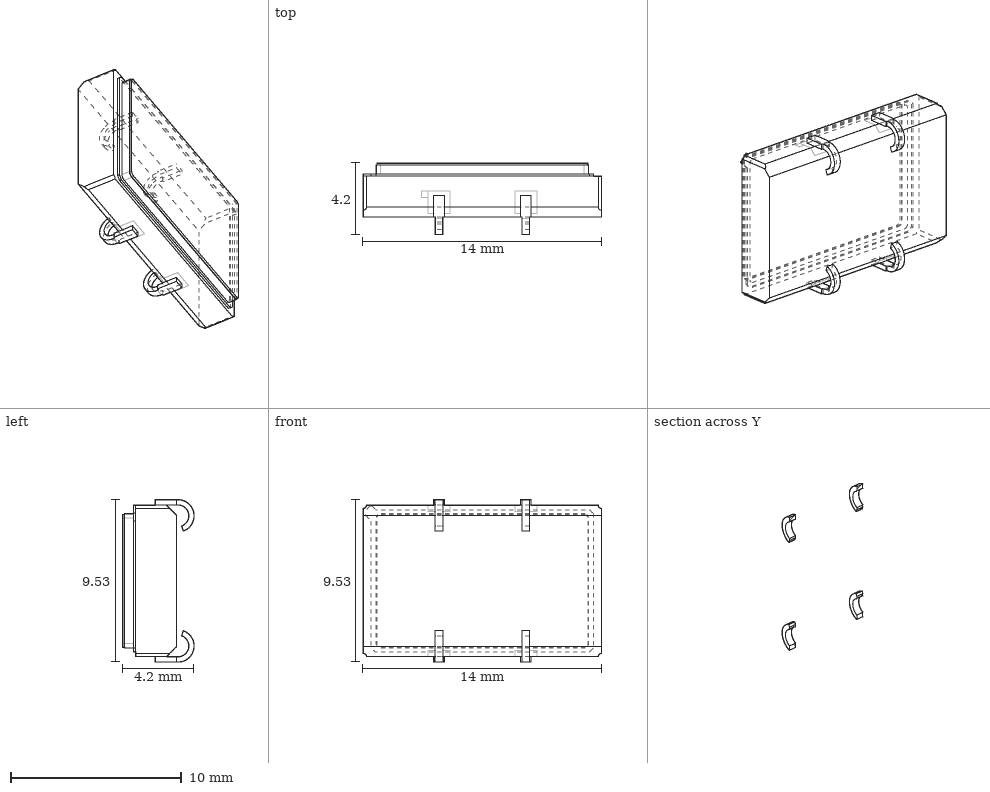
import cadquery as cq
import math


base_length = 13.97
base_height = 8.89
base_depth = 2.413
base_chamfer = 0.6
corner_notch_radius = 0.19

pad_x_positions = (-2.55, 2.55)
pad_width = 1.28
pad_start = 0.23
pad_end = 1.53
pad_tab_size = 0.38
pad_depth = 0.1

layer_thickness = 0.127
layer_inset_x = 0.46
layer_inset_z = 0.28
layer_chamfer = 0.24
mark_corner_setback = 0.46
mark_tilt = 45.0

ring_length = 12.446
ring_height = 7.874
ring_thickness = 0.508
ring_corner_radius = 0.254
lid_inset = 0.038
lid_thickness = 0.127

lead_x_positions = (-2.54, 2.54)
lead_thickness = 0.32
lead_foot_width = 0.635
lead_foot_length = 1.27
hook_width = 0.46
hook_outer_radius = 0.95
hook_straight_length = 0.075
hook_end_angle = 71.0


def block(length, depth, height, y_start):
    """Box centred on X and Z that starts at y_start and grows toward +Y."""
    return cq.Workplane("XY").box(length, depth, height).translate((0, y_start + depth / 2, 0))


def pad_region(x_centre, z_side):
    """Skin of the base that one pad covers, on its end face and its chamfer."""
    end_face = base_height / 2
    chamfer_foot = end_face - base_chamfer
    pad_low_edge = chamfer_foot + pad_start
    outline = [
        (pad_start, pad_low_edge),
        (base_chamfer, end_face),
        (pad_end, end_face),
        (pad_end, end_face - pad_depth),
        (base_chamfer, end_face - pad_depth),
        (pad_start, pad_low_edge - pad_depth),
    ]
    outline = [(y, z_side * z) for y, z in outline]
    return (
        cq.Workplane("YZ", origin=(x_centre, 0, 0))
        .polyline(outline)
        .close()
        .extrude(pad_width / 2, both=True)
    )


def pad_tab_region():
    """Small square beside the -X, +Z pad that marks the first terminal."""
    return cq.Workplane("XY").box(pad_tab_size, pad_tab_size, pad_depth).translate((
        pad_x_positions[0] - pad_width / 2 - pad_tab_size / 2,
        pad_end - pad_tab_size / 2,
        base_height / 2 - pad_depth / 2,
    ))


def make_base():
    base = block(base_length, base_depth, base_height, 0)
    base = base.faces("<Y").edges("|X").chamfer(base_chamfer)
    notches = (
        cq.Workplane("XZ")
        .rect(base_length, base_height, forConstruction=True)
        .vertices()
        .circle(corner_notch_radius)
        .extrude(-base_depth)
    )
    base = base.cut(notches)
    regions = [pad_region(x, side) for x in pad_x_positions for side in (1, -1)]
    regions.append(pad_tab_region())
    for region in regions:
        base = base.cut(region, clean=False).union(region, clean=False)
    return base


def make_metallised_layer():
    """Chamfered plate joined to a diagonal square that reaches two edges of the base."""
    layer = block(
        base_length - 2 * layer_inset_x,
        layer_thickness,
        base_height - 2 * layer_inset_z,
        base_depth,
    )
    layer = layer.edges("|Y").chamfer(layer_chamfer)
    mark_side = mark_corner_setback * math.sqrt(2)
    mark = (
        block(mark_side, layer_thickness, mark_side, base_depth)
        .rotate((0, 0, 0), (0, 1, 0), mark_tilt)
        .translate((mark_corner_setback - base_length / 2, 0, base_height / 2 - mark_corner_setback))
    )
    return layer.union(mark)


def make_seal_ring():
    ring = block(ring_length, ring_thickness, ring_height, base_depth + layer_thickness)
    return ring.edges("|Y").fillet(ring_corner_radius)


def make_lid():
    lid = block(
        ring_length - 2 * lid_inset,
        lid_thickness,
        ring_height - 2 * lid_inset,
        base_depth + layer_thickness + ring_thickness,
    )
    return lid.edges("|Y").fillet(ring_corner_radius - lid_inset)


def make_lead(x_centre, z_side):
    """Flat foot on the base's end face, then a narrower hook curling in front of Y = 0."""
    lead_top = base_height / 2 + lead_thickness
    hook_inner_radius = hook_outer_radius - lead_thickness
    hook_centre_z = lead_top - hook_outer_radius
    end_angle = math.radians(hook_end_angle)

    def hook_point(radius, angle):
        """Point on the hook; the angle is measured downward from the -Y direction."""
        y = -hook_straight_length - radius * math.cos(angle)
        z = hook_centre_z - radius * math.sin(angle)
        return (y, z_side * z)

    start_angle = -math.pi / 2
    hook = (
        cq.Workplane("YZ", origin=(x_centre, 0, 0))
        .moveTo(0, z_side * lead_top)
        .lineTo(*hook_point(hook_outer_radius, start_angle))
        .threePointArc(hook_point(hook_outer_radius, 0), hook_point(hook_outer_radius, end_angle))
        .lineTo(*hook_point(hook_inner_radius, end_angle))
        .threePointArc(hook_point(hook_inner_radius, 0), hook_point(hook_inner_radius, start_angle))
        .lineTo(0, z_side * (lead_top - lead_thickness))
        .close()
        .extrude(hook_width / 2, both=True)
    )
    foot = block(lead_foot_width, lead_foot_length, lead_thickness, 0)
    foot = foot.translate((x_centre, 0, z_side * (lead_top - lead_thickness / 2)))
    return foot.union(hook)


base = make_base()
metallised_layer = make_metallised_layer()
seal_ring = make_seal_ring()
lid = make_lid()
leads = [make_lead(x, side) for x in lead_x_positions for side in (1, -1)]

result = cq.Compound.makeCompound([
    base.solids().val(),
    metallised_layer.solids().val(),
    seal_ring.solids().val(),
    lid.solids().val(),
    *[lead.solids().val() for lead in leads],
])